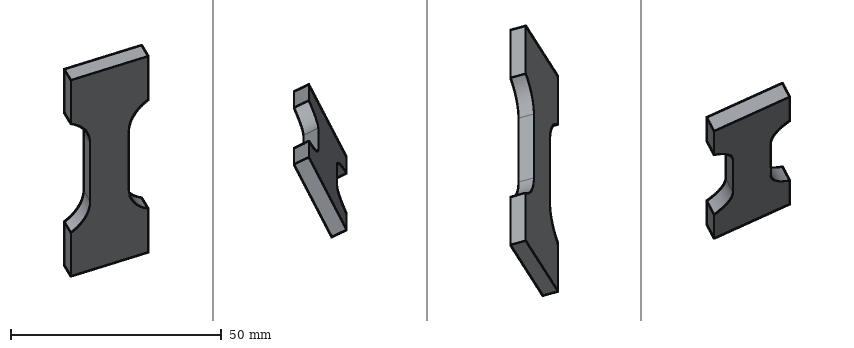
import cadquery as cq
import math

overall_length = 67.3
grip_width = 20.0
thickness = 4.0
gauge_length = grip_width
gauge_width = grip_width / 2
shoulder_radius = grip_width / 2

shoulder_depth = (grip_width - gauge_width) / 2
shoulder_height = math.sqrt(shoulder_radius**2 - (shoulder_radius - shoulder_depth) ** 2)
half_shoulder_angle = math.asin(shoulder_height / shoulder_radius) / 2
arc_mid_depth = shoulder_radius * (1 - math.cos(half_shoulder_angle))
arc_mid_height = shoulder_radius * math.sin(half_shoulder_angle)

half_gauge = gauge_length / 2
waist_y = gauge_width / 2
grip_y = grip_width / 2
shoulder_end_z = half_gauge + shoulder_height


def side_cutout(side):
    """Waist recess on one long edge; side is +1 or -1 along Y."""
    arc_mid_y = side * (waist_y + arc_mid_depth)
    arc_mid_z = half_gauge + arc_mid_height
    return (
        cq.Workplane("YZ")
        .moveTo(side * grip_y, -shoulder_end_z)
        .threePointArc((arc_mid_y, -arc_mid_z), (side * waist_y, -half_gauge))
        .lineTo(side * waist_y, half_gauge)
        .threePointArc((arc_mid_y, arc_mid_z), (side * grip_y, shoulder_end_z))
        .close()
        .extrude(thickness / 2, both=True)
    )


result = cq.Workplane("XY").box(thickness, grip_width, overall_length)
for side in (1, -1):
    result = result.cut(side_cutout(side))